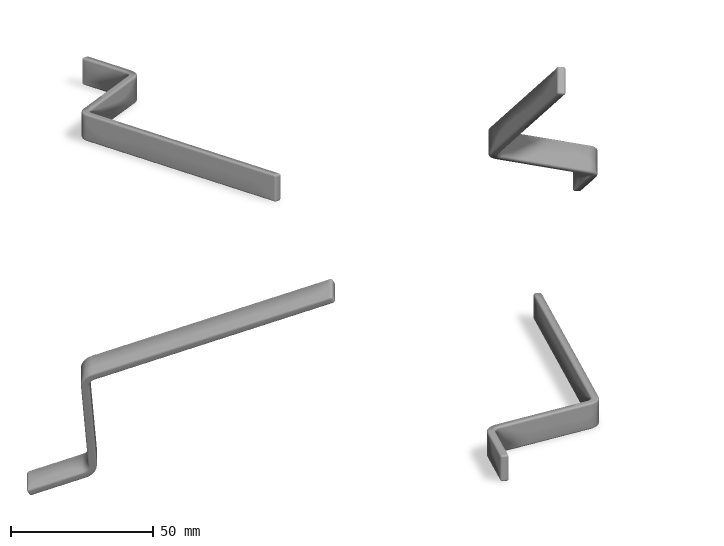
import cadquery as cq
import math

length = 136.0
depth = 45.0
height = 10.0
thickness = 3.0
bend_angle = 70.0
inner_radius = 3.3
short_leg = 21.6
edge_radius = 0.75

outer_radius = inner_radius + thickness
mid_radius = inner_radius + thickness / 2
turn = math.radians(bend_angle)

upper_y = depth - thickness / 2
lower_y = thickness / 2
upper_corner_x = short_leg + mid_radius * math.tan(turn / 2)
lower_corner_x = upper_corner_x + (upper_y - lower_y) / math.tan(turn)

half_thickness = thickness / 2
corner_shift = half_thickness * math.tan(turn / 2)


def face_line(side):
    """Corner points of one strip face; side is +1 for the upper face, -1 for the lower."""
    offset_y = side * half_thickness
    shift_x = side * corner_shift
    return [
        (0, upper_y + offset_y),
        (upper_corner_x + shift_x, upper_y + offset_y),
        (lower_corner_x + shift_x, lower_y + offset_y),
        (length, lower_y + offset_y),
    ]


upper_face = face_line(1)
lower_face = face_line(-1)


def round_bend(body, corner, radius):
    """Round the upright edge standing on a corner point."""
    return body.edges(cq.selectors.NearestToPointSelector((*corner, height / 2))).fillet(radius)


strip = cq.Workplane("XY").polyline(upper_face + lower_face[::-1]).close().extrude(height)

_, upper_outer, lower_inner, _ = upper_face
_, upper_inner, lower_outer, _ = lower_face
for inner_corner, outer_corner in ((upper_inner, upper_outer), (lower_inner, lower_outer)):
    strip = round_bend(strip, inner_corner, inner_radius)
    strip = round_bend(strip, outer_corner, outer_radius)

result = strip.faces("<Z or >Z or <X or >X").edges().fillet(edge_radius)